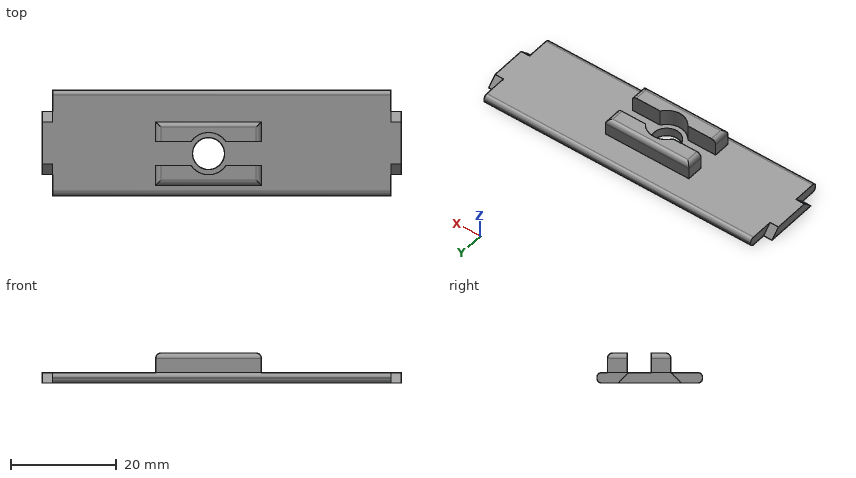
import cadquery as cq

plate_length = 64.0
plate_width = 20.0
plate_thickness = 2.0
plate_edge_radius = 0.9

overall_length = 68.0
tongue_top_width = 8.0
tongue_bottom_width = tongue_top_width + 2 * plate_thickness

overall_height = 5.7
rail_center_x = -2.5
rail_center_y = -2.0
rail_length = 20.0
rails_outer_width = 12.0
rail_gap = 4.5
rail_edge_radius = 1.0
rail_height = overall_height - plate_thickness
hole_diameter = 6.0
head_clearance_diameter = 8.0


def make_plate():
    """Flat plate with all four long edges rounded."""
    plate = cq.Workplane("XY").box(
        plate_length, plate_width, plate_thickness, centered=(True, True, False)
    )
    return plate.edges("|X").fillet(plate_edge_radius)


def make_tongue():
    """Trapezoidal bar running the full length, wider at the bottom."""
    half_bottom = tongue_bottom_width / 2
    half_top = tongue_top_width / 2
    return (
        cq.Workplane("YZ")
        .polyline([
            (-half_bottom, 0),
            (half_bottom, 0),
            (half_top, plate_thickness),
            (-half_top, plate_thickness),
        ])
        .close()
        .extrude(overall_length / 2, both=True)
    )


def make_rails():
    """Block with a rounded top rim, split by a slot and a round screw head clearance."""
    rail_plane = cq.Workplane("XY", origin=(rail_center_x, rail_center_y, plate_thickness))
    block = rail_plane.rect(rail_length, rails_outer_width).extrude(rail_height)
    block = block.faces(">Z").edges().fillet(rail_edge_radius)
    slot = rail_plane.rect(rail_length, rail_gap).extrude(rail_height)
    clearance = rail_plane.circle(head_clearance_diameter / 2).extrude(rail_height)
    return block.cut(slot).cut(clearance)


def make_screw_hole():
    """Cylinder that pierces the plate between the rails."""
    return (
        cq.Workplane("XY", origin=(rail_center_x, rail_center_y, 0))
        .circle(hole_diameter / 2)
        .extrude(plate_thickness)
    )


body = make_plate().union(make_tongue())
result = body.union(make_rails()).cut(make_screw_hole())